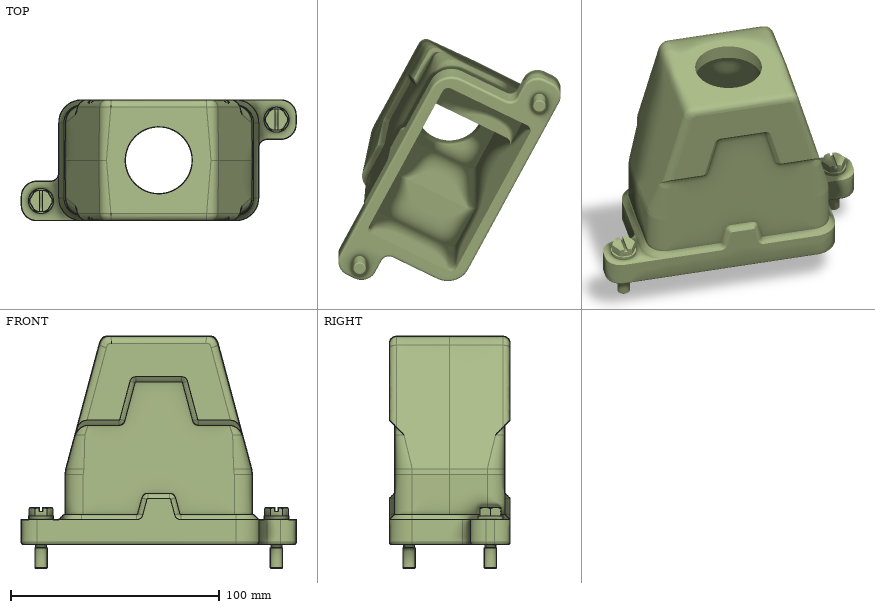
import cadquery as cq
import math

HOOD_HEIGHT = 100.0
LEAN_ANGLE = math.radians(15.0)
SLOPE = math.tan(LEAN_ANGLE)

FLANGE_HALF_X = 48.0
FLANGE_HALF_Y = 29.0
FLANGE_HEIGHT = 12.0
FLANGE_CORNER = 11.0
STEP = 2.5
LOWER_EDGE_RADIUS = 1.2

EAR_REACH = 66.0
EAR_WIDTH = 19.0
EAR_CORNER = 7.5
EAR_ROOT_RADIUS = 4.0

BODY_HALF_Y = FLANGE_HALF_Y - STEP
BODY_HALF_X = 45.0
BODY_CORNER = FLANGE_CORNER - STEP
COVERED_DIP = 0.3
END_CROWN = 0.4
BEND_HEIGHT = 35.0
BEND_RADIUS = 10.0
BEND_HALF_HEIGHT = BEND_RADIUS * math.tan(LEAN_ANGLE / 2)
TAPER_BASE = BEND_HEIGHT + BEND_HALF_HEIGHT

SHELL_BASE = 57.2
STEP_END_Y = 22.0
STEP_END_Z = SHELL_BASE - (BODY_HALF_Y - STEP_END_Y)
SHELL_EDGE_RADIUS = 3.5
SHOULDER_DROP = 4.3
SHOULDER_RUN_MIDDLE = 2.5
SHOULDER_RUN_SIDE = 4.5

TRAPEZOID_OUTER_RADIUS = 3.0
TRAPEZOID_ROOT_RADIUS = TRAPEZOID_OUTER_RADIUS - STEP
NOTCH_TOP = 80.6
NOTCH_TOP_HALF = 13.2
TAB_TOP = 24.6
TAB_TOP_HALF = 7.5
TAB_BAND_HALF = FLANGE_HALF_X - FLANGE_CORNER
TAB_BAND_BOTTOM = 3.0

CABLE_HOLE_DIAMETER = 32.0
TOP_WALL = 7.0
SHAFT_HALF_X = 20.3
SHAFT_HALF_Y = 23.5
INNER_CORNER = 3.0
CHAMBER_HALF_X = BODY_HALF_X - (BODY_HALF_Y - SHAFT_HALF_Y) - END_CROWN

SCREW_X = EAR_REACH - EAR_WIDTH / 2
SCREW_Y = FLANGE_HALF_Y - EAR_WIDTH / 2
COLLAR_DIAMETER = 12.0
COLLAR_HEIGHT = 1.7
HEX_ACROSS_FLATS = 10.0
HEX_SIDES = 6
HEX_HEIGHT = 4.0
HEX_CHAMFER = 0.5
SLOT_WIDTH = 1.6
SLOT_DEPTH = 1.7
NECK_DIAMETER = 5.3
NECK_LENGTH = 1.4
THREAD_DIAMETER = 6.0
THREAD_END = -11.4
THREAD_CHAMFER = (THREAD_DIAMETER - NECK_DIAMETER) / 2


def end_wall_x(z):
    """Half length of the body at Y = 0, vertical at first and then leaning inward."""
    return BODY_HALF_X - max(0.0, z - BEND_HEIGHT) * SLOPE


def box_between(half_x, half_y, bottom, top):
    return cq.Workplane("XY", origin=(0, 0, bottom)).rect(2 * half_x, 2 * half_y).extrude(top - bottom)


def cylinder_between(diameter, bottom, top):
    return cq.Workplane("XY", origin=(0, 0, bottom)).circle(diameter / 2).extrude(top - bottom)


def make_flange():
    plate = box_between(FLANGE_HALF_X, FLANGE_HALF_Y, 0, FLANGE_HEIGHT + STEP)
    plate = plate.edges("|Z").fillet(FLANGE_CORNER).faces(">Z").chamfer(STEP)
    ear_root = FLANGE_HALF_X / 2
    ear = box_between((EAR_REACH - ear_root) / 2, EAR_WIDTH / 2, 0, FLANGE_HEIGHT)
    ear = ear.edges("|Z and >X").fillet(EAR_CORNER).translate(((EAR_REACH + ear_root) / 2, SCREW_Y, 0))
    ear_side_y = SCREW_Y - EAR_WIDTH / 2
    root = (
        cq.Workplane("XY")
        .moveTo(FLANGE_HALF_X, ear_side_y)
        .lineTo(FLANGE_HALF_X, ear_side_y - EAR_ROOT_RADIUS)
        .radiusArc((FLANGE_HALF_X + EAR_ROOT_RADIUS, ear_side_y), EAR_ROOT_RADIUS)
        .close()
        .extrude(FLANGE_HEIGHT)
    )
    ear = ear.union(root)
    plate = plate.union(ear).union(half_turn(ear)).clean()
    return plate.faces("<Z").edges().fillet(LOWER_EDGE_RADIUS)


def body_section(z, half_x, corner, middle_dip):
    """Rounded rectangle whose short sides are peaked at Y = 0, less the dip there."""
    flat_y = BODY_HALF_Y - corner
    side_x = half_x - END_CROWN * flat_y / FLANGE_HALF_Y
    flat_x = side_x - corner
    mid = corner * math.sqrt(0.5)
    return (
        cq.Workplane("XY")
        .workplane(offset=z)
        .moveTo(flat_x, -BODY_HALF_Y)
        .threePointArc((flat_x + mid, -flat_y - mid), (side_x, -flat_y))
        .lineTo(half_x - middle_dip, 0)
        .lineTo(side_x, flat_y)
        .threePointArc((flat_x + mid, flat_y + mid), (flat_x, BODY_HALF_Y))
        .lineTo(-flat_x, BODY_HALF_Y)
        .threePointArc((-flat_x - mid, flat_y + mid), (-side_x, flat_y))
        .lineTo(middle_dip - half_x, 0)
        .lineTo(-side_x, -flat_y)
        .threePointArc((-flat_x - mid, -flat_y - mid), (-flat_x, -BODY_HALF_Y))
        .close()
        .val()
    )


def make_body():
    """Straight lower part with a tapering part above it."""
    step_corner = BODY_HALF_Y - STEP_END_Y
    stations = [
        (0, BODY_HALF_X, BODY_CORNER, 0),
        (BEND_HEIGHT - BEND_HALF_HEIGHT, BODY_HALF_X, BODY_CORNER, 0),
        (TAPER_BASE, end_wall_x(TAPER_BASE), BODY_CORNER, 0),
        (STEP_END_Z, end_wall_x(STEP_END_Z), step_corner, COVERED_DIP),
        (SHELL_BASE, end_wall_x(SHELL_BASE) - COVERED_DIP, step_corner, COVERED_DIP),
    ]
    sections = [body_section(*station) for station in stations]
    return cq.Workplane(obj=cq.Solid.makeLoft(sections, True))


def shell_section(y, crown, shoulder_run):
    """Shell outline across X at one Y, with rounded shoulders."""
    base_x = end_wall_x(TAPER_BASE) + crown
    corner_x = end_wall_x(HOOD_HEIGHT) + crown
    shoulder_z = HOOD_HEIGHT - SHOULDER_DROP
    shoulder_x = end_wall_x(shoulder_z) + crown
    top_x = corner_x - shoulder_run
    return (
        cq.Workplane("XZ", origin=(0, y, 0))
        .moveTo(-base_x, TAPER_BASE)
        .lineTo(base_x, TAPER_BASE)
        .lineTo(shoulder_x, shoulder_z)
        .bezier([(shoulder_x, shoulder_z), (corner_x, HOOD_HEIGHT), (top_x, HOOD_HEIGHT)])
        .lineTo(-top_x, HOOD_HEIGHT)
        .bezier([(-top_x, HOOD_HEIGHT), (-corner_x, HOOD_HEIGHT), (-shoulder_x, shoulder_z)])
        .close()
        .val()
    )


def make_shell():
    sections = [
        shell_section(-FLANGE_HALF_Y, -END_CROWN, SHOULDER_RUN_SIDE),
        shell_section(0, 0, SHOULDER_RUN_MIDDLE),
        shell_section(FLANGE_HALF_Y, -END_CROWN, SHOULDER_RUN_SIDE),
    ]
    shell = cq.Workplane(obj=cq.Solid.makeLoft(sections, True))
    return shell.faces("<Y or >Y").edges("not <Z").fillet(SHELL_EDGE_RADIUS)


def stepped_prism(plane, band, top, top_half):
    """Band with a trapezoid standing on it, shrinking at 45 degrees over the depth of one step."""
    band_half, band_bottom, band_top = band
    foot_half = top_half + (top - band_top) * SLOPE
    outline = cq.Sketch().polygon(
        [
            (-band_half, band_bottom),
            (band_half, band_bottom),
            (band_half, band_top),
            (foot_half, band_top),
            (top_half, top),
            (-top_half, top),
            (-foot_half, band_top),
            (-band_half, band_top),
            (-band_half, band_bottom),
        ]
    )
    outline = outline.vertices(">Y").fillet(TRAPEZOID_OUTER_RADIUS).reset()
    margin = STEP / 2
    foot = cq.selectors.BoxSelector(
        (-foot_half - margin, band_top - margin, -margin), (foot_half + margin, band_top + margin, margin)
    )
    outline = outline.vertices(foot).fillet(TRAPEZOID_ROOT_RADIUS).reset()
    return cq.Workplane(plane).placeSketch(outline).extrude(STEP, taper=45)


def half_turn(shape):
    return shape.rotate((0, 0, 0), (0, 0, 1), 180)


def make_notch():
    """Space in front of the body on the -Y side, reaching up into the shell."""
    inward = cq.Plane(origin=(0, -FLANGE_HALF_Y, 0), xDir=(-1, 0, 0), normal=(0, 1, 0))
    band = (FLANGE_HALF_X + STEP, BEND_HEIGHT, SHELL_BASE + STEP)
    return stepped_prism(inward, band, NOTCH_TOP, NOTCH_TOP_HALF)


def make_corner_relief():
    """Space on the -Y side below the step, where the rounded body corners take over from the shell."""
    return (
        cq.Workplane("YZ", origin=(-FLANGE_HALF_X, 0, 0))
        .polyline(
            [
                (-BODY_HALF_Y + BODY_CORNER, TAPER_BASE),
                (-STEP_END_Y, STEP_END_Z),
                (-BODY_HALF_Y, SHELL_BASE),
                (-FLANGE_HALF_Y, SHELL_BASE),
                (-FLANGE_HALF_Y, TAPER_BASE),
            ]
        )
        .close()
        .extrude(2 * FLANGE_HALF_X)
    )


def make_tab():
    """Trapezoid rising from the flange on the -Y side."""
    outward = cq.Plane(origin=(0, -BODY_HALF_Y, 0), xDir=(1, 0, 0), normal=(0, -1, 0))
    band = (TAB_BAND_HALF, TAB_BAND_BOTTOM, FLANGE_HEIGHT + STEP)
    return stepped_prism(outward, band, TAB_TOP, TAB_TOP_HALF)


def make_cavity():
    """Open base chamber, narrower shaft above it and the cable hole in the top."""
    chamber = box_between(CHAMBER_HALF_X, SHAFT_HALF_Y, 0, BEND_HEIGHT).edges("|Z").fillet(INNER_CORNER)
    shaft = box_between(SHAFT_HALF_X, SHAFT_HALF_Y, 0, HOOD_HEIGHT - TOP_WALL).edges("|Z").fillet(INNER_CORNER)
    hole = cylinder_between(CABLE_HOLE_DIAMETER, 0, HOOD_HEIGHT)
    return chamber.union(shaft).union(hole)


def make_screw():
    """Slotted hexagon screw with a collar, standing on the ear at +X, +Y."""
    head_base = FLANGE_HEIGHT + COLLAR_HEIGHT
    head_top = head_base + HEX_HEIGHT
    hex_diameter = HEX_ACROSS_FLATS / math.cos(math.pi / HEX_SIDES)
    collar = cylinder_between(COLLAR_DIAMETER, FLANGE_HEIGHT, head_base)
    head = cq.Workplane("XY", origin=(0, 0, head_base)).polygon(HEX_SIDES, hex_diameter).extrude(HEX_HEIGHT)
    head = head.intersect(cylinder_between(hex_diameter, head_base, head_top).faces(">Z").chamfer(HEX_CHAMFER))
    head = head.cut(box_between(SLOT_WIDTH / 2, hex_diameter, head_top - SLOT_DEPTH, head_top))
    neck = cylinder_between(NECK_DIAMETER, -NECK_LENGTH, FLANGE_HEIGHT)
    thread = cylinder_between(THREAD_DIAMETER, THREAD_END, -NECK_LENGTH).edges().chamfer(THREAD_CHAMFER)
    return collar.union(head).union(neck).union(thread).translate((SCREW_X, SCREW_Y, 0))


notch = make_notch().union(make_corner_relief())
shell = make_shell().cut(notch).cut(half_turn(notch))
tab = make_tab()
screw = make_screw()
hood = make_body().union(shell).union(make_flange()).union(tab).union(half_turn(tab))
result = hood.cut(make_cavity()).union(screw).union(half_turn(screw))